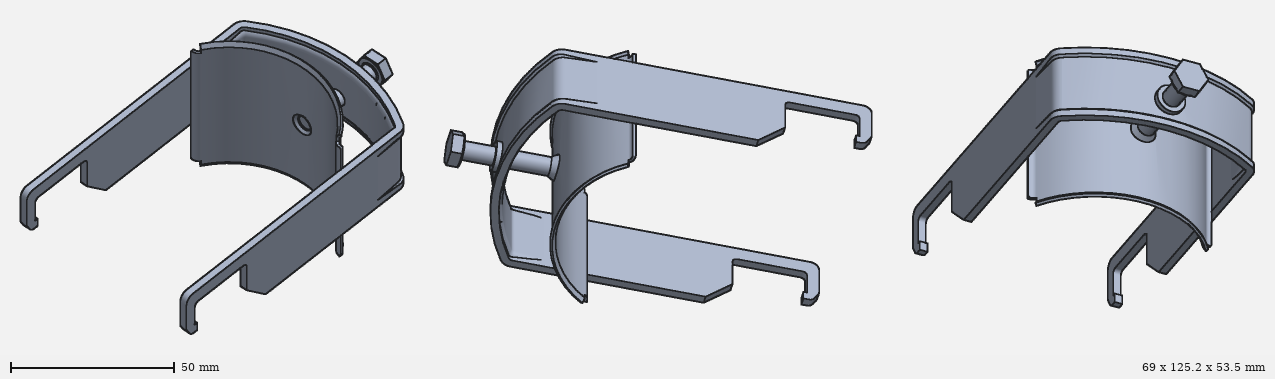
import cadquery as cq
import math


BRACKET_HALF_WIDTH = 34.5
PLATE = 2.6
BRACKET_TOP = 15.4
BRACKET_HEIGHT = 25.0
BRACKET_MID = BRACKET_TOP - BRACKET_HEIGHT / 2
ARCH_APEX = 110.2
ARCH_RADIUS = 60.1
BEND_OUTER_RADIUS = 4.3
BEND_INNER_RADIUS = BEND_OUTER_RADIUS - PLATE

EMBOSS_END = 87.0
GROOVE_DEPTH = 0.8
GROOVE_HALF_HEIGHT = 10.9
GROOVE_BEVEL = 1.4
RIB_DEPTH = 1.0
RIB_HALF_HEIGHT = 11.5
RIB_ROUND = 2.5
CUT_MARGIN = 6.3

SLOT_START = 3.9
SLOT_END = 27.4
SLOT_ROOF = 10.4
SLOT_ROUND = 1.5
BARB_REACH = 5.0
BARB_LEDGE = 1.1
HOOK_BOTTOM = -2.0
HOOK_BEVEL_WIDTH = 2.1
HOOK_BEVEL_HEIGHT = 3.8
HOOK_BEVEL_ROUND = 2.0
LEG_CORNER_ROUND = 3.0
HEEL_TOP = -1.5
HEEL_START = 35.9

BOSS_DIAMETER = 9.5
BOSS_END = 111.0

SHAFT_DIAMETER = 6.0
HEAD_END = 125.2
HEAD_ACROSS_FLATS = 10.0
HEAD_HEIGHT = 3.6
HEAD_RING_DIAMETER = 10.0
HEAD_RING_HEIGHT = 0.4
NECK_FILLET = 0.4

SADDLE_RADIUS = 33.3
SHEET = 1.0
SADDLE_OUTER_RADIUS = SADDLE_RADIUS + SHEET
SADDLE_APEX = 91.4
SADDLE_CENTRE = SADDLE_APEX - SADDLE_OUTER_RADIUS
SADDLE_HALF_ANGLE = 57.3
SADDLE_HALF_HEIGHT = 26.73
LIP_START = 25.0
LIP_TIP_HEIGHT = 25.98
LIP_FLARE = 0.69

TAB_HALF_HEIGHT = 23.6
TAB_HALF_SPAN = 31.2
TAB_BEND_RADIUS = 1.9
TAB_CORNER_ROUND = 0.6

COLLAR_TOP = 93.4
COLLAR_BASE = 91.2
COLLAR_BASE_DIAMETER = 8.5
DIMPLE_DIAMETER = 7.5
DIMPLE_WAIST_DIAMETER = 5.5
DIMPLE_FLOOR_DIAMETER = 5.0
DIMPLE_TAPER_DEPTH = 1.0
DIMPLE_DEPTH = 1.4


def y_cylinder(diameter, start, end):
    """Cylinder on the screw axis between two Y positions."""
    return cq.Workplane("XZ", origin=(0, start, 0)).circle(diameter / 2).extrude(start - end)


def y_cone(start_diameter, start, end_diameter, end):
    """Frustum on the screw axis between two Y positions."""
    base = cq.Vector(0, start, 0)
    axis = cq.Vector(0, 1, 0)
    return cq.Workplane(cq.Solid.makeCone(start_diameter / 2, end_diameter / 2, end - start, pnt=base, dir=axis))


def arched_block(inset, foot_inset, foot, bend_radius, bottom, height):
    """Block with an arched +Y end, set in from the bracket's outside.

    Its sides lean from foot_inset at Y = foot to inset at the bends.
    """
    arch_centre = ARCH_APEX - ARCH_RADIUS
    arch_radius = ARCH_RADIUS - inset
    bend_y = arch_centre + math.sqrt(ARCH_RADIUS**2 - BRACKET_HALF_WIDTH**2)
    foot_x = BRACKET_HALF_WIDTH - foot_inset
    bend_x = BRACKET_HALF_WIDTH - inset
    lean = (bend_x - foot_x) / (bend_y - foot)
    top_x = foot_x + lean * (ARCH_APEX - foot)
    plane = cq.Workplane("XY", origin=(0, 0, bottom))
    side_outline = [(-foot_x, foot), (foot_x, foot), (top_x, ARCH_APEX), (-top_x, ARCH_APEX)]
    sides = plane.polyline(side_outline).close().extrude(height)
    arch = (
        cq.Workplane("XY", origin=(0, 0, bottom))
        .moveTo(-arch_radius, 0)
        .lineTo(-arch_radius, arch_centre)
        .threePointArc((0, arch_centre + arch_radius), (arch_radius, arch_centre))
        .lineTo(arch_radius, 0)
        .close()
        .extrude(height)
    )
    block = sides.intersect(arch)
    bends = cq.selectors.BoxSelector(
        (-2 * foot_x, bend_y - CUT_MARGIN, bottom), (2 * foot_x, ARCH_APEX, bottom + height)
    )
    return block.edges("|Z").edges(bends).fillet(bend_radius)


def emboss_surround(depth, foot_depth, bend_radius, half_height):
    """Solid around an embossed outline, with its long edges next to that outline selected."""
    outer_x = BRACKET_HALF_WIDTH + CUT_MARGIN
    outer_y = ARCH_APEX + CUT_MARGIN
    bottom = BRACKET_MID - half_height
    height = 2 * half_height
    outline = [(-outer_x, EMBOSS_END), (outer_x, EMBOSS_END), (outer_x, outer_y), (-outer_x, outer_y)]
    surround = cq.Workplane("XY", origin=(0, 0, bottom)).polyline(outline).close().extrude(height)
    surround = surround.cut(arched_block(depth, foot_depth, EMBOSS_END, bend_radius, bottom, height))
    near_outline = cq.selectors.BoxSelector(
        (-BRACKET_HALF_WIDTH, EMBOSS_END, bottom - 1.3), (BRACKET_HALF_WIDTH, ARCH_APEX, bottom + height + 1.3)
    )
    return surround.faces("|Z").edges(near_outline)


def leg_profile():
    """Side shape of the strip, extruded across the whole bracket."""
    bottom = BRACKET_TOP - BRACKET_HEIGHT
    back = ARCH_APEX + CUT_MARGIN
    outline = [
        (0, BRACKET_TOP),
        (back, BRACKET_TOP),
        (back, bottom),
        (HEEL_START, bottom),
        (SLOT_END, HEEL_TOP),
        (SLOT_END, SLOT_ROOF),
        (SLOT_START, SLOT_ROOF),
        (SLOT_START, BARB_LEDGE),
        (BARB_REACH, BARB_LEDGE),
        (BARB_REACH, HOOK_BOTTOM),
        (HOOK_BEVEL_WIDTH, HOOK_BOTTOM),
        (0, HOOK_BOTTOM + HOOK_BEVEL_HEIGHT),
    ]
    profile = cq.Workplane("YZ").polyline(outline).close().extrude(BRACKET_HALF_WIDTH + CUT_MARGIN, both=True)
    slot_corners = cq.selectors.BoxSelector((-1.3, 0, SLOT_ROOF - 1.3), (1.3, SLOT_END + 1.3, SLOT_ROOF + 1.3))
    profile = profile.edges("|X").edges(slot_corners).fillet(SLOT_ROUND)
    tip_corner = cq.selectors.BoxSelector((-1.3, -1.3, BRACKET_TOP - 1.3), (1.3, 1.3, BRACKET_TOP + 1.3))
    profile = profile.edges("|X").edges(tip_corner).fillet(LEG_CORNER_ROUND)
    bevel_corners = cq.selectors.BoxSelector(
        (-1.3, -1.3, HOOK_BOTTOM - 1.3), (1.3, HOOK_BEVEL_WIDTH + 1.3, HOOK_BOTTOM + HOOK_BEVEL_HEIGHT + 1.3)
    )
    return profile.edges("|X").edges(bevel_corners).fillet(HOOK_BEVEL_ROUND)


def make_bracket():
    """Bent strip with its emboss, hooks and drilled boss."""
    bottom = BRACKET_TOP - BRACKET_HEIGHT
    outside = arched_block(0, 0, 0, BEND_OUTER_RADIUS, bottom, BRACKET_HEIGHT)
    inside = arched_block(PLATE, PLATE, 0, BEND_INNER_RADIUS, bottom, BRACKET_HEIGHT)
    body = outside.cut(inside).intersect(leg_profile())

    groove = emboss_surround(GROOVE_DEPTH, 0, BEND_OUTER_RADIUS, GROOVE_HALF_HEIGHT).chamfer(GROOVE_BEVEL)
    rib_inset = PLATE + RIB_DEPTH
    rib = emboss_surround(rib_inset, PLATE, BEND_INNER_RADIUS, RIB_HALF_HEIGHT).fillet(RIB_ROUND)
    body = body.cut(groove).union(rib.intersect(inside))

    body = body.union(y_cylinder(BOSS_DIAMETER, ARCH_APEX - PLATE, BOSS_END))
    return body.cut(y_cylinder(SHAFT_DIAMETER, COLLAR_TOP, HEAD_END))


def make_screw():
    """Hex-head screw from the saddle collar to the end of the head."""
    ring_end = HEAD_END - HEAD_HEIGHT
    ring_start = ring_end - HEAD_RING_HEIGHT
    across_corners = HEAD_ACROSS_FLATS / math.cos(math.pi / 6)
    head = cq.Workplane("XZ", origin=(0, ring_end, 0)).polygon(6, across_corners).extrude(-HEAD_HEIGHT)
    ring = y_cylinder(HEAD_RING_DIAMETER, ring_start, ring_end)
    neck = y_cone(SHAFT_DIAMETER, ring_start - NECK_FILLET, SHAFT_DIAMETER + 2 * NECK_FILLET, ring_start)
    return y_cylinder(SHAFT_DIAMETER, COLLAR_TOP, ring_start).union(neck).union(ring).union(head)


def make_saddle_shell():
    """Curved sheet with its upper and lower rims flared outwards."""
    section = [
        (SADDLE_RADIUS, LIP_START),
        (SADDLE_OUTER_RADIUS, SADDLE_HALF_HEIGHT),
        (SADDLE_OUTER_RADIUS + LIP_FLARE, LIP_TIP_HEIGHT),
        (SADDLE_OUTER_RADIUS, LIP_START),
    ]
    below = [(r, -z) for r, z in reversed(section)]
    sweep_start = 90 - SADDLE_HALF_ANGLE
    shell = cq.Workplane("XZ").polyline(section + below).close().revolve(2 * SADDLE_HALF_ANGLE, (0, 0), (0, 1))
    return shell.rotate((0, 0, 0), (0, 0, 1), sweep_start).translate((0, SADDLE_CENTRE, 0))


def make_tab():
    """Edge tab on the +X side: bends from the sheet's end until it lies level with X."""
    bend_centre_radius = SADDLE_OUTER_RADIUS + TAB_BEND_RADIUS
    end_angle = math.radians(SADDLE_HALF_ANGLE)
    centre_x = bend_centre_radius * math.sin(end_angle)
    centre_y = SADDLE_CENTRE + bend_centre_radius * math.cos(end_angle)

    def bend_point(radius, share):
        """Point on the bend; share runs from 0 at the level end to 1 at the sheet."""
        angle = share * end_angle
        return (centre_x - radius * math.sin(angle), centre_y - radius * math.cos(angle))

    upper = TAB_BEND_RADIUS
    lower = TAB_BEND_RADIUS + SHEET
    tab = (
        cq.Workplane("XY", origin=(0, 0, -TAB_HALF_HEIGHT))
        .moveTo(*bend_point(lower, 1))
        .threePointArc(bend_point(lower, 0.5), bend_point(lower, 0))
        .lineTo(TAB_HALF_SPAN, centre_y - lower)
        .lineTo(TAB_HALF_SPAN, centre_y - upper)
        .lineTo(*bend_point(upper, 0))
        .threePointArc(bend_point(upper, 0.5), bend_point(upper, 1))
        .close()
        .extrude(2 * TAB_HALF_HEIGHT)
    )
    return tab.faces(">X").edges("|Y").fillet(TAB_CORNER_ROUND)


def make_pressure_screw():
    """Screw and saddle in one piece, joined by the collar over the dimple."""
    tab = make_tab()
    saddle = make_saddle_shell().union(tab).union(tab.mirror("YZ"))
    collar = y_cone(COLLAR_BASE_DIAMETER, COLLAR_BASE, SHAFT_DIAMETER, COLLAR_TOP)
    dimple_start = SADDLE_APEX - SHEET
    taper = y_cone(DIMPLE_DIAMETER, dimple_start, DIMPLE_WAIST_DIAMETER, dimple_start + DIMPLE_TAPER_DEPTH)
    pocket = y_cylinder(DIMPLE_FLOOR_DIAMETER, dimple_start, dimple_start + DIMPLE_DEPTH)
    entry = y_cylinder(DIMPLE_DIAMETER, dimple_start - SHEET, dimple_start)
    return saddle.union(collar).cut(taper).cut(pocket).cut(entry).union(make_screw())


bracket = make_bracket()
pressure_screw = make_pressure_screw()

result = cq.Compound.makeCompound([bracket.val(), pressure_screw.val()])